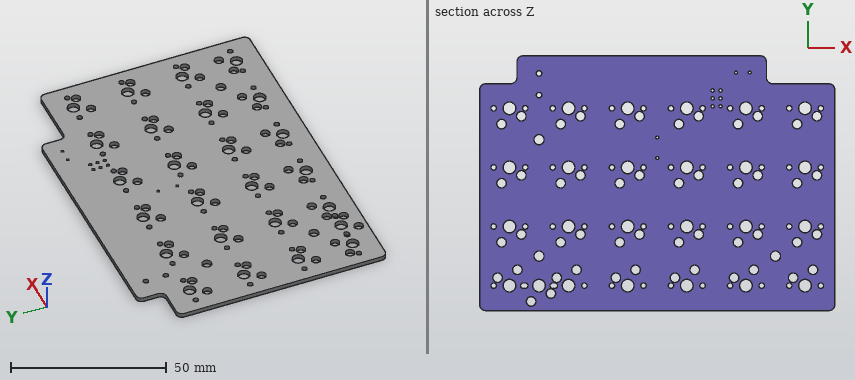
import cadquery as cq

board_width = 114.25
board_depth = 82.0
board_thickness = 1.6

left_edge = -board_width / 2
right_edge = board_width / 2
front_edge = -board_depth / 2
back_edge = board_depth / 2
tab_depth = 9.0
shoulder_edge = back_edge - tab_depth
tab_left_inset = 12.0
tab_right_inset = 22.0
tab_left = left_edge + tab_left_inset
tab_right = right_edge - tab_right_inset
corner_radius = 2.0

key_pitch = 19.0
column_count = 6
upper_row_count = 3
back_row_y = 24.075
thumb_row_y = back_row_y - upper_row_count * key_pitch
first_column_x = -(column_count - 1) / 2 * key_pitch

stem_diameter = 4.0
guide_diameter = 1.7
guide_offset = 5.08
pin_diameter = 3.0
pin_positions = [(-3.81, 2.54), (2.54, 5.08)]

screw_diameter = 3.2
screw_x = 2 * key_pitch
front_screw_y = thumb_row_y + key_pitch / 2
back_screw_y = 14.0

header_pitch = 2.54
header_first_x = 17.8
header_back_y = 29.8
header_columns = 2
header_rows = 3
header_diameter = 1.0

jack_peg_diameter = 1.7
jack_peg_x = -screw_x
jack_peg_ys = [35.3, 28.3]

lead_diameter = 0.9
back_lead_y = 35.55
back_lead_xs = [25.3, 29.7]
middle_lead_x = 0.0
middle_lead_ys = [14.7, 8.1]


def make_blank():
    outline = [
        (left_edge, front_edge),
        (right_edge, front_edge),
        (right_edge, shoulder_edge),
        (tab_right, shoulder_edge),
        (tab_right, back_edge),
        (tab_left, back_edge),
        (tab_left, shoulder_edge),
        (left_edge, shoulder_edge),
    ]
    blank = cq.Workplane("XY").polyline(outline).close().extrude(board_thickness)
    return blank.edges("|Z").fillet(corner_radius)


def drill(board, points, diameter):
    drills = (
        cq.Workplane("XY")
        .pushPoints(points)
        .circle(diameter / 2)
        .extrude(board_thickness, combine=False)
    )
    return board.cut(drills)


def drill_switches(board, centres, facing):
    """Drill switch footprints with the pins toward the back (facing 1) or the front (facing -1)."""
    guides = []
    pins = []
    for x, y in centres:
        guides += [(x - guide_offset, y), (x + guide_offset, y)]
        pins += [(x + facing * dx, y + facing * dy) for dx, dy in pin_positions]
    board = drill(board, centres, stem_diameter)
    board = drill(board, guides, guide_diameter)
    return drill(board, pins, pin_diameter)


def drill_key_grid(board):
    columns = [first_column_x + column * key_pitch for column in range(column_count)]
    rows = [back_row_y - row * key_pitch for row in range(upper_row_count)]
    upper_keys = [(x, y) for x in columns for y in rows]
    thumb_keys = [(x, thumb_row_y) for x in columns]
    board = drill_switches(board, upper_keys, facing=-1)
    board = drill_switches(board, thumb_keys, facing=1)
    wide_key_x = first_column_x + key_pitch / 2
    return drill_switches(board, [(wide_key_x, thumb_row_y)], facing=-1)


def drill_screws(board):
    screws = [
        (-screw_x, front_screw_y),
        (screw_x, front_screw_y),
        (-screw_x, back_screw_y),
    ]
    return drill(board, screws, screw_diameter)


def drill_header(board):
    contacts = []
    for column in range(header_columns):
        for row in range(header_rows):
            x = header_first_x + column * header_pitch
            y = header_back_y - row * header_pitch
            contacts.append((x, y))
    return drill(board, contacts, header_diameter)


def drill_component_holes(board):
    pegs = [(jack_peg_x, y) for y in jack_peg_ys]
    leads = [(x, back_lead_y) for x in back_lead_xs]
    leads += [(middle_lead_x, y) for y in middle_lead_ys]
    board = drill(board, pegs, jack_peg_diameter)
    return drill(board, leads, lead_diameter)


result = make_blank()
result = drill_key_grid(result)
result = drill_screws(result)
result = drill_header(result)
result = drill_component_holes(result)